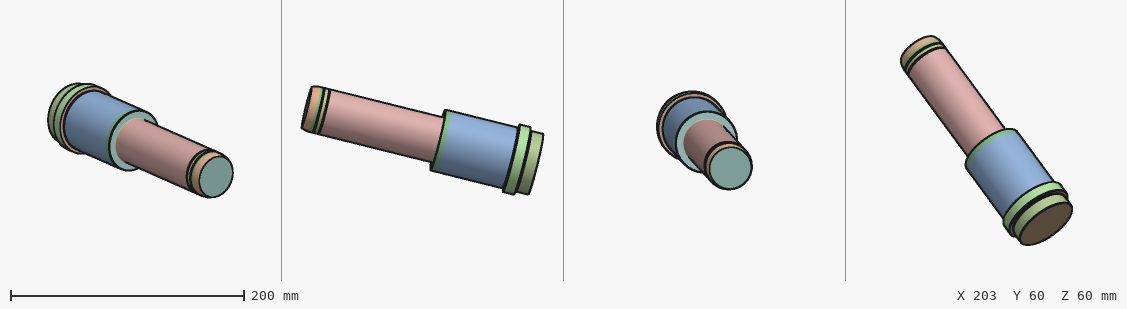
import cadquery as cq

total_length = 203.0
body_diameter = 54.0
flange_diameter = 60.0
shank_diameter = 40.0

flange_start = 12.0
flange_width = 9.7
flange_chamfer = 0.5
relief_width = 1.3
relief_depth = 0.5

head_chamfer = 0.5

body_end = 87.0
lead_length = 5.0
lead_reduction = 0.02
body_chamfer = 0.5
shank_fillet = 0.5

groove_starts = (187.2, 192.1)
groove_width = 1.2
groove_depth = 0.2
nose_length = 7.0
nose_drop = 1.8

body_radius = body_diameter / 2
flange_radius = flange_diameter / 2
shank_radius = shank_diameter / 2
relief_radius = body_radius - relief_depth
lead_radius = body_radius - lead_reduction
tip_radius = shank_radius - nose_drop
flange_end = flange_start + flange_width
nose_start = total_length - nose_length


def rounded_groove(profile, start):
    """Follow the shank outline through one shallow arc groove."""
    return (
        profile.lineTo(start, shank_radius)
        .threePointArc(
            (start + groove_width / 2, shank_radius - groove_depth),
            (start + groove_width, shank_radius),
        )
    )


def head_and_flange(profile):
    """Follow the head, both relief grooves and the flange up to the body."""
    return (
        profile.lineTo(0, body_radius - head_chamfer)
        .lineTo(head_chamfer, body_radius)
        .lineTo(flange_start - relief_width, body_radius)
        .lineTo(flange_start - relief_width, relief_radius)
        .lineTo(flange_start, relief_radius)
        .lineTo(flange_start, flange_radius - flange_chamfer)
        .lineTo(flange_start + flange_chamfer, flange_radius)
        .lineTo(flange_end, flange_radius)
        .lineTo(flange_end, relief_radius)
        .lineTo(flange_end + relief_width, relief_radius)
        .lineTo(flange_end + relief_width, body_radius)
    )


def body_and_step(profile):
    """Follow the body, its lead-in and the chamfered step down to the shank."""
    return (
        profile.lineTo(body_end - lead_length, body_radius)
        .lineTo(body_end - body_chamfer, lead_radius)
        .lineTo(body_end, lead_radius - body_chamfer)
        .lineTo(body_end, shank_radius + shank_fillet)
        .tangentArcPoint((body_end + shank_fillet, shank_radius), relative=False)
    )


def shank_and_nose(profile):
    """Follow the grooved shank and the rounded nose back to the axis."""
    for start in groove_starts:
        profile = rounded_groove(profile, start)
    return (
        profile.lineTo(nose_start, shank_radius)
        .tangentArcPoint((total_length, tip_radius), relative=False)
        .lineTo(total_length, 0)
    )


outline = cq.Workplane("XY").moveTo(0, 0)
outline = head_and_flange(outline)
outline = body_and_step(outline)
outline = shank_and_nose(outline)
result = outline.close().revolve(360, (0, 0, 0), (1, 0, 0))